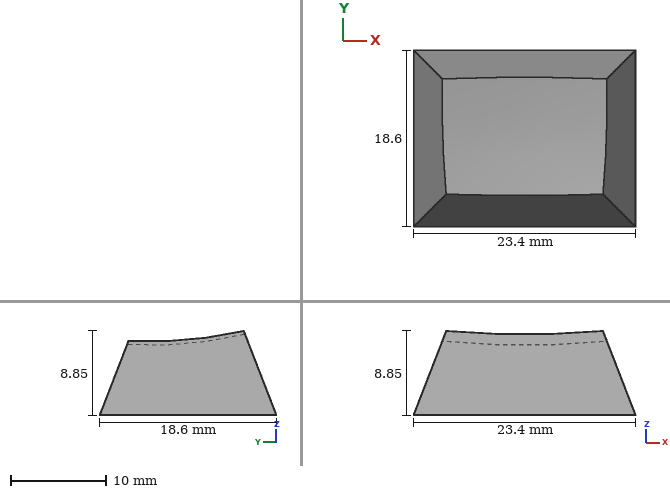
import cadquery as cq
import math

base_width = 23.38
base_depth = 18.6
corner_height = 8.85
wall_angle = 21.2
blank_height = 10.52

dish_radius_x = 87.9
dish_radius_y = 43.49
dish_center_y = 4.02
dish_half_length = 18.7


def sagitta(radius, half_chord):
    """Rise of an arc above its lowest point at a given distance from it."""
    return radius - math.sqrt(radius**2 - half_chord**2)


corner_inset = corner_height * math.tan(math.radians(wall_angle))
corner_x = base_width / 2 - corner_inset
corner_y = base_depth / 2 - corner_inset
corner_swing_radius = dish_radius_x - sagitta(dish_radius_y, corner_y + dish_center_y)
dish_axis_z = corner_height + math.sqrt(corner_swing_radius**2 - corner_x**2)
dish_bottom_z = dish_axis_z - dish_radius_x


def make_tapered_block():
    """Rectangular block whose walls all lean inward by the same angle."""
    return (
        cq.Workplane("XY")
        .rect(base_width, base_depth)
        .extrude(blank_height, taper=wall_angle)
    )


def make_dish_cutter():
    """Barrel around an axis parallel to Y, far above the keycap."""
    end_z = dish_bottom_z + sagitta(dish_radius_y, dish_half_length)
    back_y = dish_center_y + dish_half_length
    front_y = dish_center_y - dish_half_length
    return (
        cq.Workplane("YZ")
        .moveTo(front_y, dish_axis_z)
        .lineTo(front_y, end_z)
        .threePointArc((dish_center_y, dish_bottom_z), (back_y, end_z))
        .lineTo(back_y, dish_axis_z)
        .close()
        .revolve(360, (front_y, dish_axis_z), (back_y, dish_axis_z))
    )


def make_keycap():
    """Tapered block with the dished top."""
    return make_tapered_block().cut(make_dish_cutter())


keycap = make_keycap()
result = cq.Compound.makeCompound([keycap.solids().val()])